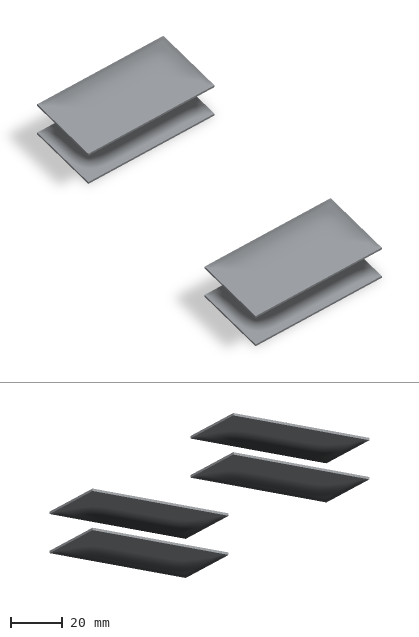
import cadquery as cq

overall_length = 141.1
overall_height = 17.0

plate_length = 33.0
plate_width = 61.0
plate_thickness = 1.0

center_x = (overall_length - plate_length) / 2
center_z = (overall_height - plate_thickness) / 2


def make_plate(x, z):
    """Flat rectangular plate centred at (x, 0, z)."""
    return cq.Workplane("XY").box(plate_length, plate_width, plate_thickness).translate((x, 0, z))


plates = []
for x in (-center_x, center_x):
    for z in (-center_z, center_z):
        plates.append(make_plate(x, z).val())

result = cq.Compound.makeCompound(plates)